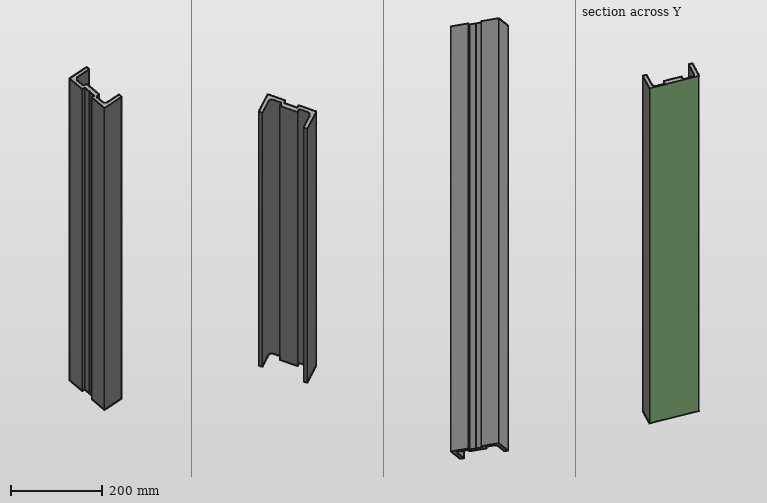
import cadquery as cq

length = 1000.0
width = 116.0
depth = 50.0

wall = 9.0
web = 9.0
corner_radius = 8.0

rib_height = 18.0
rib_width = 42.0
rib_foot_radius = 3.0

groove_width = 31.0
groove_depth = 7.0

mark_width = 0.4
mark_depth = 1.0


def channel_body():
    """U-shaped channel with a raised rib, open towards +Y and extruded along Z."""
    outer_x = width / 2
    inner_x = outer_x - wall
    rib_x = rib_width / 2
    body = (
        cq.Workplane("XY")
        .moveTo(-outer_x, 0)
        .lineTo(outer_x, 0)
        .lineTo(outer_x, depth)
        .lineTo(inner_x, depth)
        .lineTo(inner_x, web + corner_radius)
        .radiusArc((inner_x - corner_radius, web), corner_radius)
        .lineTo(rib_x + rib_foot_radius, web)
        .radiusArc((rib_x, web + rib_foot_radius), rib_foot_radius)
        .lineTo(rib_x, rib_height)
        .lineTo(-rib_x, rib_height)
        .lineTo(-rib_x, web + rib_foot_radius)
        .radiusArc((-rib_x - rib_foot_radius, web), rib_foot_radius)
        .lineTo(-inner_x + corner_radius, web)
        .radiusArc((-inner_x, web + corner_radius), corner_radius)
        .lineTo(-inner_x, depth)
        .lineTo(-outer_x, depth)
        .close()
    )
    return body.extrude(length)


def groove_cutter():
    """Rectangular groove with the fine centre mark in its floor."""
    half_groove = groove_width / 2
    half_mark = mark_width / 2
    outline = [
        (-half_groove, 0),
        (half_groove, 0),
        (half_groove, groove_depth),
        (half_mark, groove_depth),
        (0, groove_depth + mark_depth),
        (-half_mark, groove_depth),
        (-half_groove, groove_depth),
    ]
    return cq.Workplane("XY").polyline(outline).close().extrude(length)


result = channel_body().cut(groove_cutter())